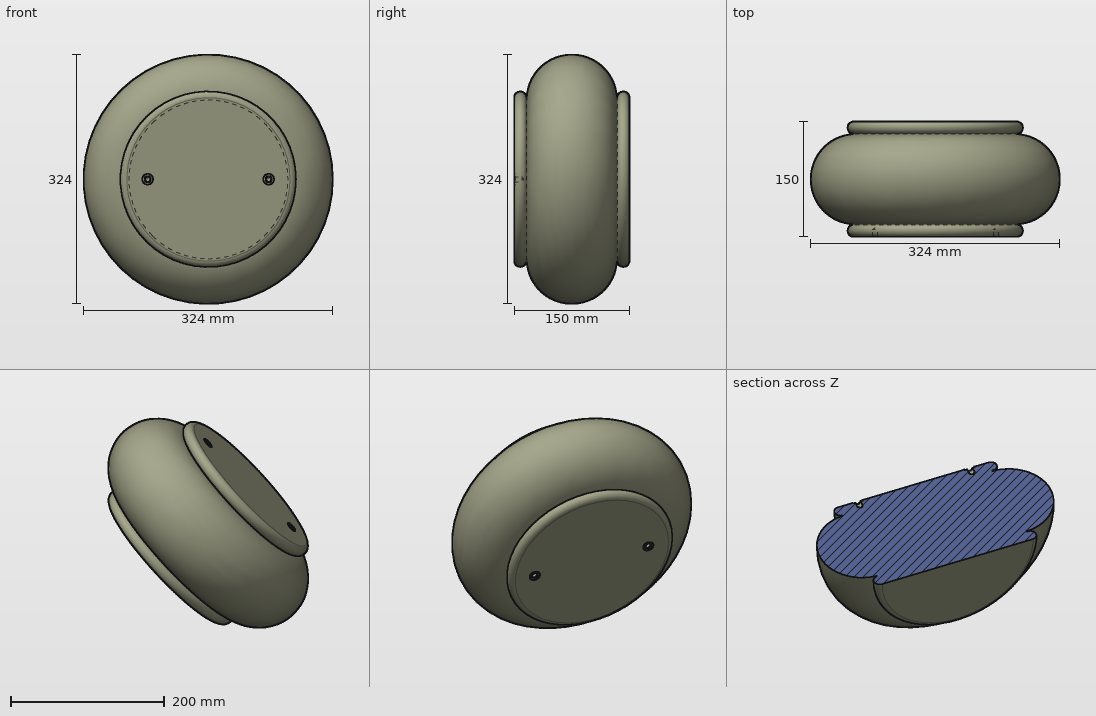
import cadquery as cq

bellows_diameter = 324.0
overall_width = 150.0
plate_diameter = 228.0
plate_thickness = 16.2
bellows_width = overall_width - 2 * plate_thickness

hole_spacing = 157.0
recess_diameter = 14.0
recess_depth = 1.0
mouth_diameter = 8.0
mouth_depth = 0.5
hole_diameter = 6.8
hole_depth = 9.7
hole_tip_depth = 2.3

front_face = -overall_width / 2


def round_edged_disc(diameter, thickness, center_y):
    """Disc about the Y axis whose rim is a full half-circle."""
    rim_radius = thickness / 2
    flat_radius = diameter / 2 - rim_radius
    return (
        cq.Workplane("XY")
        .moveTo(0, center_y - rim_radius)
        .lineTo(flat_radius, center_y - rim_radius)
        .threePointArc((diameter / 2, center_y), (flat_radius, center_y + rim_radius))
        .lineTo(0, center_y + rim_radius)
        .close()
        .revolve(360, (0, 0, 0), (0, 1, 0))
    )


def stepped_hole(center_x):
    """Shallow recess and chamfered mouth leading to a blind hole with a conical bottom."""
    hole_radius = hole_diameter / 2
    mouth_radius = mouth_diameter / 2
    recess_radius = recess_diameter / 2
    recess_floor = front_face + recess_depth
    hole_end = front_face + hole_depth
    return (
        cq.Workplane("XY")
        .polyline([
            (0, front_face),
            (recess_radius, front_face),
            (recess_radius, recess_floor),
            (mouth_radius, recess_floor),
            (hole_radius, recess_floor + mouth_depth),
            (hole_radius, hole_end),
            (0, hole_end + hole_tip_depth),
        ])
        .close()
        .revolve(360, (0, 0, 0), (0, 1, 0))
        .translate((center_x, 0, 0))
    )


result = round_edged_disc(bellows_diameter, bellows_width, 0)
plate_center = (bellows_width + plate_thickness) / 2
for side in (-1, 1):
    result = result.union(round_edged_disc(plate_diameter, plate_thickness, side * plate_center))
for side in (-1, 1):
    result = result.cut(stepped_hole(side * hole_spacing / 2))